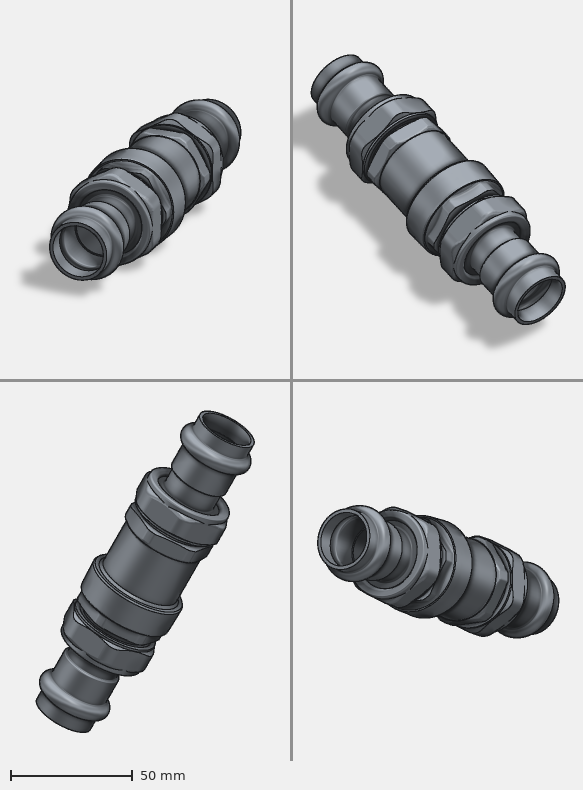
import cadquery as cq
import math

TOTAL_LENGTH = 145.2
HALF_LENGTH = TOTAL_LENGTH / 2

SOCKET_OUTER_DIAMETER = 25.4
SOCKET_INNER_DIAMETER = 22.4
SOCKET_LENGTH = 25.4
NECK_DIAMETER = 22.8
NECK_BORE_DIAMETER = 21.0
SHOULDER_ROUND = 0.7
SHOULDER_FILLET = 0.5
BEAD_STATION = 9.9
BEAD_OUTER_DIAMETER = 31.8
BEAD_TUBE_RADIUS = 3.5
BEAD_FILLET = 0.95
FLANGE_FILLET = 1.09

THREAD_DIAMETER = 33.1
FLANGE_START = 34.4
FLANGE_END = 36.3

NUT_START = 32.5
NUT_END = 46.2
NUT_ACROSS_FLATS = 37.2
NUT_CORNER_ROUND = 6.7
NUT_TURN = 30
COLLAR_DIAMETER = 37.0
COLLAR_EDGE_ROUND = 1.0
OUTER_COLLAR_END = 34.8
INNER_COLLAR_START = 45.1
NUT_CONE_ROUND = 1.9
LIP_HOLE_DIAMETER = 28.6
LIP_MOUTH_ROUND = 1.7
OUTER_CONE_DEPTH = 3.6

BODY_BORE_DIAMETER = 19.0
RELIEF_DIAMETER = 30.0
RELIEF_FLARE = 0.6
BARREL_DIAMETER = 34.4
HEX_START = 48.2
HEX_ACROSS_FLATS = 34.5
HEX_CORNER_DIAMETER = 37.9
HEX_EDGE_ROUND = 2.0
HEX_FACE_DIAMETER = 32.0
HEX_FACE_CHAMFER_LENGTH = 0.6
HEX_CONE_END = 55.5
HEX_CONE_ROUND = 1.3
HEX_CONE_DEPTH = 2.2
BARREL_FLARE_END = 56.2
BARREL_FLARE_DIAMETER = 34.8

RING_START = 54.3
RING_FACE_DIAMETER = 40.4
RING_EDGE_LENGTH = 0.9
RING_SMALL_DIAMETER = 40.6
RING_DIAMETER = 41.4
RING_TAPER_END = 65.9
RING_TOP = 66.8
RING_TOP_DIAMETER = 40.4
RING_FOOT_DIAMETER = 36.7
RING_FOOT_END = 68.0
RUNOUT_STATION = 53.0
RUNOUT_FILLET = 1.5
RUNOUT_DEPTH = 0.7

CONE_LENGTH_PER_RADIUS = math.tan(math.pi / 6)

SELECTION_MARGIN = 0.1


def y_at(station):
    """Y coordinate of a station on the +Y end."""
    return HALF_LENGTH - station


def revolved(points):
    """Solid of revolution about Y from (diameter, station) points."""
    outline = [(diameter / 2, y_at(station)) for diameter, station in points]
    return cq.Workplane("XY").polyline(outline).close().revolve(360, (0, 0, 0), (0, 1, 0))


def cylinder(diameter, start, end):
    """Cylinder along Y between two stations."""
    return revolved([(0, start), (diameter, start), (diameter, end), (0, end)])


def hexagon(across_flats, start, end):
    """Hexagonal prism along Y with two flats facing +Z and -Z."""
    across_corners = across_flats / math.cos(math.pi / 6)
    base = cq.Workplane("XZ", origin=(0, y_at(start), 0))
    return base.polygon(6, across_corners).extrude(end - start)


def bead_ring(tube_radius, root_diameter, root_fillet):
    """Ring with a round crest that blends through fillets into a cylinder of the root diameter."""
    y = y_at(BEAD_STATION)
    crest_centre = BEAD_OUTER_DIAMETER / 2 - BEAD_TUBE_RADIUS
    root_radius = root_diameter / 2

    rise = root_radius + root_fillet - crest_centre
    reach = tube_radius + root_fillet
    half_width = math.sqrt(reach**2 - rise**2)
    touch_radius = crest_centre + rise * tube_radius / reach
    touch_offset = half_width * tube_radius / reach

    half_sweep = math.atan2(half_width, rise) / 2
    middle_radius = root_radius + root_fillet * (1 - math.cos(half_sweep))
    middle_offset = half_width - root_fillet * math.sin(half_sweep)

    profile = (
        cq.Workplane("XY")
        .moveTo(0, y - half_width)
        .lineTo(root_radius, y - half_width)
        .threePointArc((middle_radius, y - middle_offset), (touch_radius, y - touch_offset))
        .threePointArc((crest_centre + tube_radius, y), (touch_radius, y + touch_offset))
        .threePointArc((middle_radius, y + middle_offset), (root_radius, y + half_width))
        .lineTo(0, y + half_width)
        .close()
    )
    return profile.revolve(360, (0, 0, 0), (0, 1, 0))


def edges_between(solid, first_station, last_station):
    """Edges of a solid that lie wholly between two stations."""
    reach = RING_DIAMETER
    return solid.edges(cq.selectors.BoxSelector(
        (-reach, y_at(last_station), -reach),
        (reach, y_at(first_station), reach),
        boundingbox=True,
    ))


def circle_at(solid, station, size_rank):
    """Circular edge at a station, ranked by size from 0 for the smallest."""
    circles = edges_between(solid, station - SELECTION_MARGIN, station + SELECTION_MARGIN)
    return circles.edges(cq.selectors.RadiusNthSelector(size_rank))


def make_tail():
    """Press tail: socket with a seal bead, neck and a flange held inside the nut."""
    tube = revolved([
        (0, 0),
        (SOCKET_OUTER_DIAMETER, 0),
        (SOCKET_OUTER_DIAMETER, SOCKET_LENGTH),
        (NECK_DIAMETER, SOCKET_LENGTH),
        (NECK_DIAMETER, FLANGE_START),
        (THREAD_DIAMETER, FLANGE_START),
        (THREAD_DIAMETER, FLANGE_END),
        (0, FLANGE_END),
    ])
    tube = circle_at(tube, SOCKET_LENGTH, 1).fillet(SHOULDER_ROUND)
    tube = circle_at(tube, SOCKET_LENGTH, 0).fillet(SHOULDER_FILLET)
    tube = circle_at(tube, FLANGE_START, 0).fillet(FLANGE_FILLET)

    wall = (SOCKET_OUTER_DIAMETER - SOCKET_INNER_DIAMETER) / 2
    bead = bead_ring(BEAD_TUBE_RADIUS, SOCKET_OUTER_DIAMETER, BEAD_FILLET)
    seal_groove = bead_ring(BEAD_TUBE_RADIUS - wall, SOCKET_INNER_DIAMETER, BEAD_FILLET)
    socket = cylinder(SOCKET_INNER_DIAMETER, 0, SOCKET_LENGTH - wall)
    neck_bore = cylinder(NECK_BORE_DIAMETER, 0, FLANGE_END)
    return tube.union(bead).cut(seal_groove).cut(socket).cut(neck_bore)


def cone_length(start_diameter, end_diameter):
    """Axial length of a hexagon-end cone between two diameters."""
    return abs(end_diameter - start_diameter) / 2 * CONE_LENGTH_PER_RADIUS


def make_nut():
    """Union nut on the +Y end, with two flats facing +X and -X."""
    wide = NUT_ACROSS_FLATS / math.cos(math.pi / 6)
    small = COLLAR_DIAMETER - 2 * OUTER_CONE_DEPTH
    hex_start = OUTER_COLLAR_END - cone_length(small, COLLAR_DIAMETER)
    outer_cone_end = OUTER_COLLAR_END + cone_length(COLLAR_DIAMETER, wide)
    inner_cone_start = INNER_COLLAR_START - cone_length(COLLAR_DIAMETER, wide)
    envelope = revolved([
        (0, hex_start),
        (small, hex_start),
        (wide, outer_cone_end),
        (wide, inner_cone_start),
        (COLLAR_DIAMETER, INNER_COLLAR_START),
        (COLLAR_DIAMETER, NUT_END),
        (0, NUT_END),
    ])
    prism = hexagon(NUT_ACROSS_FLATS, hex_start, NUT_END).rotate((0, 0, 0), (0, 1, 0), NUT_TURN)
    prism = prism.edges("|Y").fillet(NUT_CORNER_ROUND).intersect(envelope)
    prism = edges_between(prism, hex_start + SELECTION_MARGIN, outer_cone_end).fillet(NUT_CONE_ROUND)

    collar = cylinder(COLLAR_DIAMETER, NUT_START, NUT_END)
    collar = collar.faces(">Y").edges().fillet(COLLAR_EDGE_ROUND)
    lip_hole = cylinder(LIP_HOLE_DIAMETER, NUT_START, FLANGE_START)
    thread_hole = cylinder(THREAD_DIAMETER, FLANGE_START, NUT_END)
    nut = prism.union(collar).cut(lip_hole).cut(thread_hole)
    return circle_at(nut, NUT_START, 0).fillet(LIP_MOUTH_ROUND)


def hex_section(end):
    """Wrench hexagon on the +Y end: turned-down corners and a slightly coned outer face."""
    prism = hexagon(HEX_ACROSS_FLATS, HEX_START, end)
    prism = prism.intersect(cylinder(HEX_CORNER_DIAMETER, HEX_START, end))
    prism = prism.edges("|Y").fillet(HEX_EDGE_ROUND)
    face = revolved([
        (0, HEX_START),
        (HEX_FACE_DIAMETER, HEX_START),
        (HEX_CORNER_DIAMETER, HEX_START + HEX_FACE_CHAMFER_LENGTH),
        (HEX_CORNER_DIAMETER, end),
        (0, end),
    ])
    return prism.intersect(face)


def make_barrel_hexagon():
    """Hexagon whose rounded cone drops to the barrel."""
    small = BARREL_DIAMETER - 2 * HEX_CONE_DEPTH
    end = HEX_CONE_END + cone_length(small, BARREL_DIAMETER)
    wide = HEX_ACROSS_FLATS / math.cos(math.pi / 6)
    cone_start = HEX_CONE_END - cone_length(BARREL_DIAMETER, wide)
    cone = revolved([
        (0, HEX_START),
        (wide, HEX_START),
        (wide, cone_start),
        (small, end),
        (0, end),
    ])
    section = hex_section(end).intersect(cone)
    return edges_between(section, cone_start, end - SELECTION_MARGIN).fillet(HEX_CONE_ROUND)


def make_ring_hexagon():
    """Hexagon whose flats run out into a filleted cone below the collar ring."""
    inside = HEX_ACROSS_FLATS - 2 * RUNOUT_DEPTH
    cone_start = RUNOUT_STATION - cone_length(inside, HEX_ACROSS_FLATS)
    wide = HEX_ACROSS_FLATS + 2 * (RING_START - RUNOUT_STATION) / CONE_LENGTH_PER_RADIUS
    cone = revolved([(0, cone_start), (inside, cone_start), (wide, RING_START), (0, RING_START)])
    section = hex_section(RING_START).union(cone)
    return edges_between(
        section,
        RUNOUT_STATION - SELECTION_MARGIN,
        RING_START - SELECTION_MARGIN,
    ).fillet(RUNOUT_FILLET)


def make_ring():
    """Tapered collar ring with bevelled rims."""
    return revolved([
        (0, RING_START),
        (RING_FACE_DIAMETER, RING_START),
        (RING_SMALL_DIAMETER, RING_START + RING_EDGE_LENGTH),
        (RING_DIAMETER, RING_TAPER_END),
        (RING_TOP_DIAMETER, RING_TOP),
        (RING_FOOT_DIAMETER, RING_TOP),
        (BARREL_DIAMETER, RING_FOOT_END),
        (0, RING_FOOT_END),
    ])


def make_thread():
    """Thread inside the nut, then a relief that flares out to the hexagon face."""
    flare_end = HEX_START + HEX_FACE_CHAMFER_LENGTH
    return revolved([
        (0, FLANGE_END),
        (THREAD_DIAMETER, FLANGE_END),
        (THREAD_DIAMETER, NUT_END),
        (RELIEF_DIAMETER, NUT_END),
        (RELIEF_DIAMETER, HEX_START - RELIEF_FLARE),
        (RELIEF_DIAMETER + 2 * RELIEF_FLARE, HEX_START),
        (RELIEF_DIAMETER + 2 * RELIEF_FLARE, flare_end),
        (0, flare_end),
    ])


def make_barrel():
    """Cylinder from the collar ring to the +Y hexagon, with a flared foot against its cone."""
    return revolved([
        (0, HEX_CONE_END),
        (BARREL_FLARE_DIAMETER, HEX_CONE_END),
        (BARREL_DIAMETER, BARREL_FLARE_END),
        (BARREL_DIAMETER, TOTAL_LENGTH - RING_FOOT_END),
        (0, TOTAL_LENGTH - RING_FOOT_END),
    ])


def make_body():
    """Valve body with its thread, hexagon and relief at both ends and a through bore."""
    plus_end = make_barrel_hexagon().union(make_thread())
    minus_end = make_ring_hexagon().union(make_ring()).union(make_thread()).mirror("XZ")
    bore = cylinder(BODY_BORE_DIAMETER, 0, TOTAL_LENGTH)
    return make_barrel().union(plus_end).union(minus_end).cut(bore)


def at_both_ends(end_part):
    """The +Y part and a copy turned half round to the -Y end."""
    return [end_part.rotate((0, 0, 0), (0, 0, 1), turn).val() for turn in (0, 180)]


body = make_body()
tails = at_both_ends(make_tail())
nuts = at_both_ends(make_nut())
result = cq.Compound.makeCompound([body.val(), *tails, *nuts])